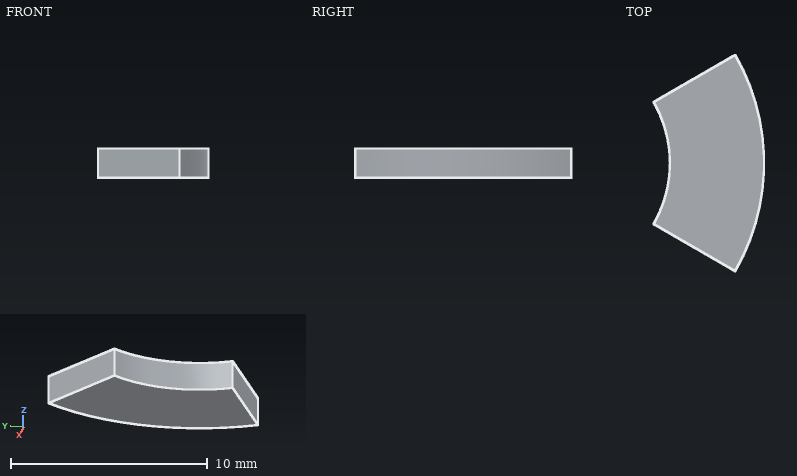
import cadquery as cq
import math

outer_radius = 11.0
inner_radius = 6.2
thickness = 1.5
sweep_angle = 60.0


def ring_point(radius, angle):
    """Point on a circle about the ring axis, with the angle in degrees from +X."""
    radians = math.radians(angle)
    return (radius * math.cos(radians), radius * math.sin(radians))


half_angle = sweep_angle / 2

result = (
    cq.Workplane("XY")
    .moveTo(*ring_point(inner_radius, -half_angle))
    .lineTo(*ring_point(outer_radius, -half_angle))
    .threePointArc(ring_point(outer_radius, 0), ring_point(outer_radius, half_angle))
    .lineTo(*ring_point(inner_radius, half_angle))
    .threePointArc(ring_point(inner_radius, 0), ring_point(inner_radius, -half_angle))
    .close()
    .extrude(thickness)
)